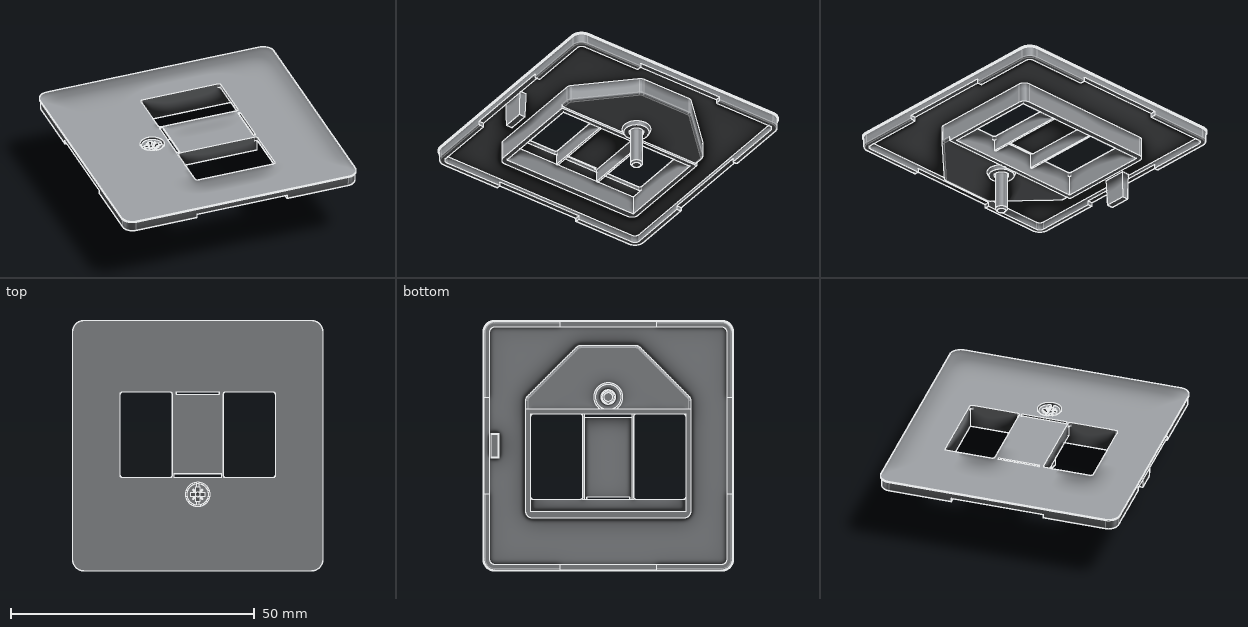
import cadquery as cq

plate_size = 51.39
plate_corner_radius = 2.4
plate_thickness = 0.9
lip_height = 0.3
lip_overhang = 0.22
skirt_depth = 2.6
skirt_thickness = 1.15
skirt_draft = 0.5
skirt_bottom_fillet = 0.25
notch_length = 19.8
notch_top_z = -1.7

skirt_size = plate_size - 2 * lip_overhang
skirt_corner_radius = plate_corner_radius - lip_overhang
skirt_inner_size = skirt_size - 2 * skirt_thickness

frame_half_width = 16.95
frame_back_y = 14.85
frame_bottom_z = -5.25
frame_back_radius = 1.5
frame_wall = 1.05
frame_back_wall = 1.35
step_y = -7.5
nose_front_y = -20.55
nose_bottom_z = -4.8
nose_bottom_fillet = 0.45
nose_front_half_width = 6.15
nose_corner_radius = 1.25

nose_shoulder_y = nose_front_y + frame_half_width - nose_front_half_width

window_front_y = -6.5
window_back_y = 11.0
window_corner_radius = 0.5
bridge_half_width = 5.25
window_outer_x = frame_half_width - frame_wall
window_width = window_outer_x - bridge_half_width
window_length = window_back_y - window_front_y
window_center_x = (window_outer_x + bridge_half_width) / 2
window_center_y = (window_back_y + window_front_y) / 2
bay_back_y = frame_back_y - frame_back_wall

bridge_web = 0.3
bridge_rib_thickness = 0.4
bridge_rib_bottom_z = -3.3
back_slot_length = 8.8
back_slot_width = 0.45
front_slot_length = 9.7
front_slot_width = 0.7

tab_outer_x = -24.0
tab_top_thickness = 1.6
tab_tip_thickness = 1.4
tab_top_width = 5.0
tab_tip_width = 4.6
tab_tip_z = -6.75

screw_y = -9.98
boss_bottom_z = -5.6
boss_top_diameter = 5.9
boss_bottom_diameter = 5.2
head_bore_diameter = 5.0
shank_bore_diameter = 3.0
head_seat_z = -3.0
head_diameter = 4.4
head_top_z = -0.4
shank_diameter = 2.5
screw_tip_z = -13.99
tip_chamfer_height = 0.45
tip_chamfer_inset = 0.35

drive_slot_width = 0.6
drive_slot_depth = 0.6
cross_span = 3.0
cross_width = 0.85
cross_depth = 0.9
tick_span = 2.8
tick_width = 0.25
tick_depth = 0.3
cone_diameter = 2.0
cone_depth = 1.8


def block(x_range, y_range, z_range):
    """Axis-aligned box between the given limits."""
    size = [high - low for low, high in (x_range, y_range, z_range)]
    corner = (x_range[0], y_range[0], z_range[0])
    return cq.Workplane("XY").box(*size, centered=False).translate(corner)


def centred_bar(length_x, length_y, top_z, depth, draft=0):
    """Bar centred on the Z axis that reaches down from top_z, narrowing by the draft angle."""
    return cq.Workplane("XY", origin=(0, 0, top_z)).rect(length_x, length_y).extrude(-depth, taper=draft)


def cylinder(diameter, top_z, bottom_z, y):
    """Upright cylinder on the X = 0 plane."""
    return cq.Workplane("XY", origin=(0, y, top_z)).circle(diameter / 2).extrude(bottom_z - top_z)


def make_shell():
    """Plate with an overhanging lip and a hollow, notched skirt."""
    lip = centred_bar(plate_size, plate_size, 0, lip_height)
    lip = lip.edges("|Z").fillet(plate_corner_radius)
    skirt = centred_bar(skirt_size, skirt_size, 0, skirt_depth, skirt_draft)
    skirt = skirt.edges("not #Z").fillet(skirt_corner_radius)
    skirt = skirt.faces("<Z").edges().fillet(skirt_bottom_fillet)
    hollow_depth = skirt_depth - plate_thickness
    hollow = centred_bar(skirt_inner_size, skirt_inner_size, -plate_thickness, hollow_depth)
    hollow = hollow.edges("|Z").fillet(skirt_corner_radius - skirt_thickness)
    shell = lip.union(skirt).cut(hollow)
    notch_depth = skirt_depth + notch_top_z
    for length_x, length_y in ((notch_length, plate_size), (plate_size, notch_length)):
        notch = centred_bar(length_x, length_y, notch_top_z, notch_depth)
        shell = shell.cut(notch.cut(hollow))
    return shell


def make_frame():
    """Rectangular frame with a solid, shallower nose that tapers to the front."""
    top_z = -plate_thickness / 2
    outline = [
        (-frame_half_width, frame_back_y),
        (-frame_half_width, nose_shoulder_y),
        (-nose_front_half_width, nose_front_y),
        (nose_front_half_width, nose_front_y),
        (frame_half_width, nose_shoulder_y),
        (frame_half_width, frame_back_y),
    ]
    nose = cq.Workplane("XY", origin=(0, 0, top_z)).polyline(outline).close()
    nose = nose.extrude(nose_bottom_z - top_z)
    nose = nose.edges("|Z").edges("not >Y").fillet(nose_corner_radius)
    nose = nose.faces("<Z").edges("not >Y").fillet(nose_bottom_fillet)
    nose = nose.intersect(
        block((-plate_size, plate_size), (-plate_size, step_y), (nose_bottom_z, 0))
    )
    back = block(
        (-frame_half_width, frame_half_width), (step_y, frame_back_y), (frame_bottom_z, top_z)
    )
    back = back.edges("|Z and >Y").fillet(frame_back_radius)
    return nose.union(back)


def make_boss():
    """Tapered pad under the nose, cut flat where the frame steps down."""
    pad = (
        cq.Workplane("XY", origin=(0, screw_y, nose_bottom_z))
        .circle(boss_top_diameter / 2)
        .workplane(offset=boss_bottom_z - nose_bottom_z)
        .circle(boss_bottom_diameter / 2)
        .loft()
    )
    return pad.intersect(
        block((-plate_size, plate_size), (-plate_size, step_y), (boss_bottom_z, 0))
    )


def make_tab():
    """Latch tab under the -X edge, tapering to its tip with a flat outer face."""
    half_top = tab_top_width / 2
    half_tip = tab_tip_width / 2
    root_z = -plate_thickness / 2
    side = [
        (tab_outer_x, root_z),
        (tab_outer_x + tab_top_thickness, root_z),
        (tab_outer_x + tab_tip_thickness, tab_tip_z),
        (tab_outer_x, tab_tip_z),
    ]
    face = [(-half_top, root_z), (half_top, root_z), (half_tip, tab_tip_z), (-half_tip, tab_tip_z)]
    tab = cq.Workplane("XZ").polyline(side).close().extrude(half_top, both=True)
    return tab.intersect(cq.Workplane("YZ").polyline(face).close().extrude(plate_size, both=True))


def cut_bay(body):
    """Hollow the frame under the plate and thin the bridge web, leaving a rib on each bridge side."""
    rib_inner_x = bridge_half_width - bridge_rib_thickness
    y_range = (window_front_y, window_back_y)
    bay = block(
        (-window_outer_x, window_outer_x),
        (window_front_y, bay_back_y),
        (frame_bottom_z, -plate_thickness),
    )
    body = body.cut(bay)
    for x_range in ((-bridge_half_width, -rib_inner_x), (rib_inner_x, bridge_half_width)):
        body = body.union(block(x_range, y_range, (bridge_rib_bottom_z, -bridge_web)))
    return body.cut(block((-rib_inner_x, rib_inner_x), y_range, (-plate_thickness, -bridge_web)))


def cut_windows(body):
    """Two rounded windows, one on each side of the bridge."""
    window = centred_bar(window_width, window_length, 0, plate_thickness)
    window = window.edges("|Z").fillet(window_corner_radius)
    for side in (-1, 1):
        body = body.cut(window.translate((side * window_center_x, window_center_y, 0)))
    return body


def cut_bridge_slots(body):
    """Narrow slots across the back and front ends of the bridge."""
    slots = (
        (back_slot_length, back_slot_width, window_back_y - back_slot_width / 2),
        (front_slot_length, front_slot_width, window_front_y + front_slot_width / 2),
    )
    for length, width, center_y in slots:
        slot = centred_bar(length, width, 0, plate_thickness)
        body = body.cut(slot.translate((0, center_y, 0)))
    return body


def make_cover():
    """Plate, frame, boss and tab in one piece, with a stepped hole for the screw."""
    cover = make_shell().union(make_frame()).union(make_boss()).union(make_tab())
    cover = cut_bridge_slots(cut_windows(cut_bay(cover)))
    cover = cover.cut(cylinder(head_bore_diameter, 0, head_seat_z, screw_y))
    return cover.cut(cylinder(shank_bore_diameter, head_seat_z, boss_bottom_z, screw_y))


def make_screw():
    """Combined slot-and-cross screw whose head rests on the seat of its bore."""
    shank_radius = shank_diameter / 2
    profile = [
        (0, head_top_z),
        (head_diameter / 2, head_top_z),
        (head_diameter / 2, head_seat_z),
        (shank_radius, head_seat_z),
        (shank_radius, screw_tip_z + tip_chamfer_height),
        (shank_radius - tip_chamfer_inset, screw_tip_z),
        (0, screw_tip_z),
    ]
    screw = cq.Workplane("XZ").polyline(profile).close().revolve(360, (0, 0, 0), (0, 1, 0))
    screw = screw.cut(centred_bar(drive_slot_width, head_diameter, head_top_z, drive_slot_depth))
    tick = centred_bar(tick_span, tick_width, head_top_z, tick_depth)
    arm = centred_bar(cross_span, cross_width, head_top_z, cross_depth)
    for quarter in (0, 90):
        screw = screw.cut(arm.rotate((0, 0, 0), (0, 0, 1), quarter))
        screw = screw.cut(tick.rotate((0, 0, 0), (0, 0, 1), quarter + 45))
    cone_profile = [(0, head_top_z), (cone_diameter / 2, head_top_z), (0, head_top_z - cone_depth)]
    cone = cq.Workplane("XZ").polyline(cone_profile).close().revolve(360, (0, 0, 0), (0, 1, 0))
    return screw.cut(cone).translate((0, screw_y, 0))


cover = make_cover()
screw = make_screw()
result = cq.Compound.makeCompound([cover.val(), screw.val()])